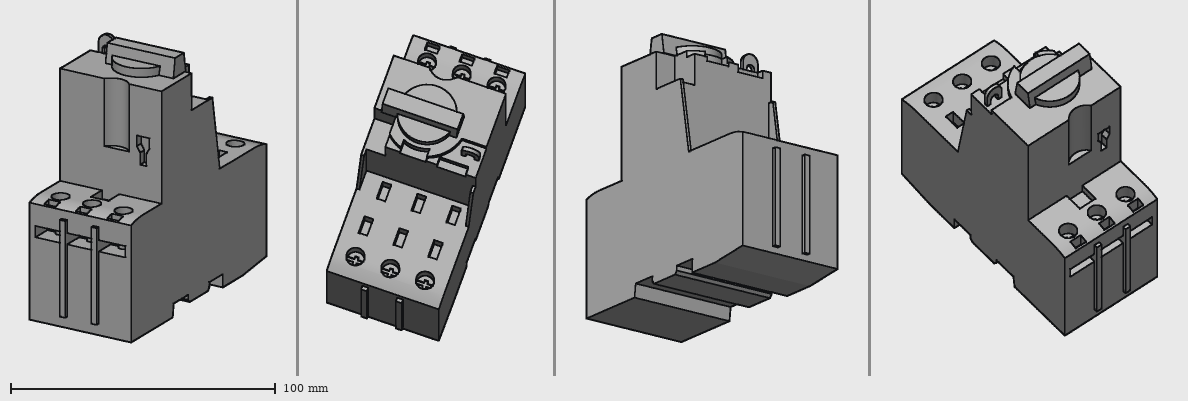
import cadquery as cq
import math

width = 45.0
base_length = 98.0
overall_length = 101.0
overall_height = 102.5
half_width = width / 2
half_length = base_length / 2

deck_z = 49.0
edge_round_length = 8.2
edge_round_drop = 1.4
rail_groove_z = 5.4
rail_groove_back_y = 17.3
rail_groove_front_y = -18.0
rail_undercut = 0.7
rail_block_center_y = 0.0
rail_block_length = 15.5
rail_block_drop = 3.3
rail_block_chamfer_width = 1.1
rail_block_chamfer_height = 1.3
back_taper_y = 31.7
back_taper_height = 2.0

tower_z = 94.6
tower_front_y = -27.0
tower_back_y = 7.3
step_z = 92.1
step_front_y = -4.9
cheek_width = 1.2
cheek_z = 79.6
cheek_top_y = 9.9
cheek_foot_y = 15.2

knob_x = 2.7
knob_y = -8.9
knob_radius = 11.3
knob_height = 3.6
rim_radius = 15.9
handle_length = 30.0
handle_center_x = 4.4
handle_top_width = 6.5
handle_bottom_width = 8.9
notch_width = 10.4
notch_inner_radius = 12.9
notch_depth = 4.1
corner_cut_x = 13.7
corner_cut_front_y = -5.1
window_left_x = -18.5
window_right_x = -7.0
window_front_y = 4.1
window_depth = 3.1

lug_x = -17.8
lug_y = -0.2
lug_radius = 3.5
lug_hole_radius = 1.7
lug_thickness = 1.6
lug_top_z = 100.5
lug_hole_top_z = 96.1

groove_half_width = 5.4
groove_depth = 2.8
groove_bottom_z = 67.1
key_x = 14.4
key_half_width = 2.8
key_stem_half_width = 1.3
key_top_z = 74.4
key_shoulder_z = 70.1
key_neck_z = 67.8
key_bottom_z = 62.8
key_depth = 3.1

pole_pitch = 13.9
pole_count = 3
screw_y = 40.4
screw_hole_radius = 3.5
screw_hole_depth = 6.2
screw_slot_width = 1.3
screw_cross_length = 3.4
screw_slot_depth = 1.0
screw_shaft_diameter = 4.0
wire_slot_width = 39.8
wire_slot_bottom_z = 34.0
wire_slot_top_z = 38.6
terminal_window_x = 5.0
terminal_window_y = 3.3
terminal_window_center_y = -46.4
terminal_window_depth = 6.2
deck_pocket_x = 3.5
deck_pocket_y = 6.9
deck_pocket_depth = 6.2
outer_pockets_y = 27.8
outer_pockets_shift = 0.3
inner_pockets_y = 12.8
inner_pockets_shift = -1.6
front_pocket_width = 7.7
front_pocket_length = 8.0
front_pocket_depth = 3.5

rib_width = 2.4
rib_bottom_z = 4.7
rib_top_z = 44.0
rib_x = pole_pitch / 2

pole_xs = [(i - (pole_count - 1) / 2) * pole_pitch for i in range(pole_count)]


def box(x0, x1, y0, y1, z0, z1):
    """Box between two corners."""
    return cq.Workplane("XY").box(x1 - x0, y1 - y0, z1 - z0, centered=False).translate((x0, y0, z0))


def block(x, y, z, size_x, size_y, height):
    """Box standing on height z, centred on (x, y)."""
    return box(x - size_x / 2, x + size_x / 2, y - size_y / 2, y + size_y / 2, z, z + height)


def disc(x, y, z, radius, height):
    """Upright cylinder standing on height z."""
    return cq.Workplane("XY").circle(radius).extrude(height).translate((x, y, z))


def extrude_yz(sketch, x0, x1):
    """Extrude a closed Y-Z outline between two X positions."""
    return sketch.close().extrude(x1 - x0).translate((x0, 0, 0))


def base():
    round_radius = (edge_round_length**2 + edge_round_drop**2) / (2 * edge_round_drop)
    half_angle = math.asin(edge_round_length / round_radius) / 2
    round_start_y = half_length - edge_round_length
    round_mid_y = round_start_y + round_radius * math.sin(half_angle)
    round_mid_z = deck_z - round_radius * (1 - math.cos(half_angle))
    round_end_z = deck_z - edge_round_drop
    outline = (
        cq.Workplane("YZ")
        .moveTo(-half_length, 0)
        .lineTo(-half_length, round_end_z)
        .threePointArc((-round_mid_y, round_mid_z), (-round_start_y, deck_z))
        .lineTo(round_start_y, deck_z)
        .threePointArc((round_mid_y, round_mid_z), (half_length, round_end_z))
        .lineTo(half_length, back_taper_height)
        .lineTo(back_taper_y, 0)
        .lineTo(rail_groove_back_y, 0)
        .lineTo(rail_groove_back_y, rail_groove_z)
        .lineTo(rail_groove_front_y, rail_groove_z)
        .lineTo(rail_groove_front_y - rail_undercut, 0)
    )
    return extrude_yz(outline, -half_width, half_width)


def rail_block():
    half = rail_block_length / 2
    bottom_z = rail_groove_z - rail_block_drop
    chamfer_z = bottom_z + rail_block_chamfer_height
    outline = (
        cq.Workplane("YZ")
        .moveTo(rail_block_center_y - half, rail_groove_z)
        .lineTo(rail_block_center_y - half, chamfer_z)
        .lineTo(rail_block_center_y - half + rail_block_chamfer_width, bottom_z)
        .lineTo(rail_block_center_y + half - rail_block_chamfer_width, bottom_z)
        .lineTo(rail_block_center_y + half, chamfer_z)
        .lineTo(rail_block_center_y + half, rail_groove_z)
    )
    return extrude_yz(outline, -half_width, half_width)


def ribs():
    solid = None
    for x in (-rib_x, rib_x):
        rib = block(x, 0, rib_bottom_z, rib_width, overall_length, rib_top_z - rib_bottom_z)
        solid = rib if solid is None else solid.union(rib)
    return solid.cut(block(0, 0, 0, width, base_length, deck_z))


def tower():
    body = box(-half_width, half_width, tower_front_y, tower_back_y, deck_z, step_z)
    body = body.union(box(-half_width, half_width, tower_front_y, step_front_y, step_z, tower_z))
    rim = disc(knob_x, knob_y, step_z, rim_radius, tower_z - step_z)
    body = body.union(rim)
    body = body.cut(box(window_left_x, window_right_x, window_front_y, tower_back_y,
                        step_z - window_depth, step_z))
    notch = block(knob_x, tower_back_y, tower_z - notch_depth, notch_width, 2 * rim_radius, notch_depth)
    notch = notch.cut(disc(knob_x, knob_y, 0, notch_inner_radius, tower_z))
    body = body.cut(notch.intersect(box(-half_width, half_width, knob_y, tower_back_y, 0, tower_z)))
    return body.cut(box(corner_cut_x, half_width, corner_cut_front_y, tower_back_y, cheek_z, tower_z))


def cheeks():
    """Thin sloping side plates behind the tower."""
    solid = None
    for x0 in (-half_width, half_width - cheek_width):
        outline = (
            cq.Workplane("YZ")
            .moveTo(tower_back_y, deck_z)
            .lineTo(cheek_foot_y, deck_z)
            .lineTo(cheek_top_y, cheek_z)
            .lineTo(tower_back_y, cheek_z)
        )
        cheek = extrude_yz(outline, x0, x0 + cheek_width)
        solid = cheek if solid is None else solid.union(cheek)
    return solid


def knob():
    handle_outline = (
        cq.Workplane("YZ")
        .moveTo(knob_y - handle_bottom_width / 2, tower_z)
        .lineTo(knob_y - handle_top_width / 2, overall_height)
        .lineTo(knob_y + handle_top_width / 2, overall_height)
        .lineTo(knob_y + handle_bottom_width / 2, tower_z)
    )
    handle = extrude_yz(
        handle_outline, handle_center_x - handle_length / 2, handle_center_x + handle_length / 2
    )
    return handle.union(disc(knob_x, knob_y, tower_z, knob_radius, knob_height))


def arch(radius, top_z, bottom_z, thickness):
    """Upright plate with a round top, centred on the lug."""
    center_z = top_z - radius
    return (
        cq.Workplane("XZ")
        .moveTo(lug_x - radius, bottom_z)
        .lineTo(lug_x - radius, center_z)
        .threePointArc((lug_x, top_z), (lug_x + radius, center_z))
        .lineTo(lug_x + radius, bottom_z)
        .close()
        .extrude(thickness / 2, both=True)
        .translate((0, lug_y, 0))
    )


def lug():
    plate = arch(lug_radius, lug_top_z, step_z, lug_thickness)
    return plate.cut(arch(lug_hole_radius, lug_hole_top_z, step_z, 2 * lug_thickness))


def finger_groove():
    radius = (groove_half_width**2 + groove_depth**2) / (2 * groove_depth)
    center_y = tower_front_y + groove_depth - radius
    return disc(knob_x, center_y, groove_bottom_z, radius, tower_z - groove_bottom_z)


def key_recess():
    right_side = [
        (key_stem_half_width, key_bottom_z),
        (key_stem_half_width, key_neck_z),
        (key_half_width, key_shoulder_z),
        (key_half_width, key_top_z),
    ]
    left_side = [(-x, z) for x, z in reversed(right_side)]
    recess = cq.Workplane("XZ").polyline(right_side + left_side).close().extrude(-key_depth)
    return recess.translate((key_x, tower_front_y, 0))


def terminal_screw_hole(x, y):
    """Screw hole with a crossed slot sunk into the screw head at its floor."""
    floor_z = deck_z - screw_hole_depth
    slot_z = floor_z - screw_slot_depth
    hole = disc(x, y, floor_z, screw_hole_radius, screw_hole_depth)
    long_slot = block(x, y, slot_z, 2 * screw_hole_radius, screw_slot_width, screw_slot_depth)
    long_slot = long_slot.intersect(disc(x, y, slot_z, screw_hole_radius, screw_slot_depth))
    cross_slot = block(x, y, slot_z, screw_slot_width, screw_cross_length, screw_slot_depth)
    return hole.union(long_slot).union(cross_slot)


def deck_cut(x, y, size_x, size_y, depth):
    """Rectangular pocket sunk from the deck level."""
    return block(x, y, deck_z - depth, size_x, size_y, depth)


def wire_slot():
    """Front slot reaching back to the screw shafts, split by a divider behind each rib."""
    height = wire_slot_top_z - wire_slot_bottom_z
    slot = box(-wire_slot_width / 2, wire_slot_width / 2, -half_length, -screw_y,
               wire_slot_bottom_z, wire_slot_top_z)
    for x in pole_xs:
        slot = slot.cut(disc(x, -screw_y, wire_slot_bottom_z, screw_shaft_diameter / 2, height))
    for x in (-rib_x, rib_x):
        slot = slot.cut(block(x, 0, wire_slot_bottom_z, rib_width, base_length, height))
    return slot


result = base().union(rail_block()).union(ribs())
result = result.union(tower()).union(cheeks()).union(knob()).union(lug())
result = result.cut(finger_groove()).cut(key_recess()).cut(wire_slot())

for pole_x in pole_xs:
    result = result.cut(terminal_screw_hole(pole_x, screw_y))
    result = result.cut(terminal_screw_hole(pole_x, -screw_y))
    result = result.cut(deck_cut(pole_x, terminal_window_center_y, terminal_window_x,
                                 terminal_window_y, terminal_window_depth))
    result = result.cut(deck_cut(pole_x + outer_pockets_shift, outer_pockets_y, deck_pocket_x,
                                 deck_pocket_y, deck_pocket_depth))
    result = result.cut(deck_cut(pole_x + inner_pockets_shift, inner_pockets_y, deck_pocket_x,
                                 deck_pocket_y, deck_pocket_depth))

front_pocket_y = tower_front_y - front_pocket_length / 2
result = result.cut(deck_cut(0, front_pocket_y, front_pocket_width, front_pocket_length, front_pocket_depth))